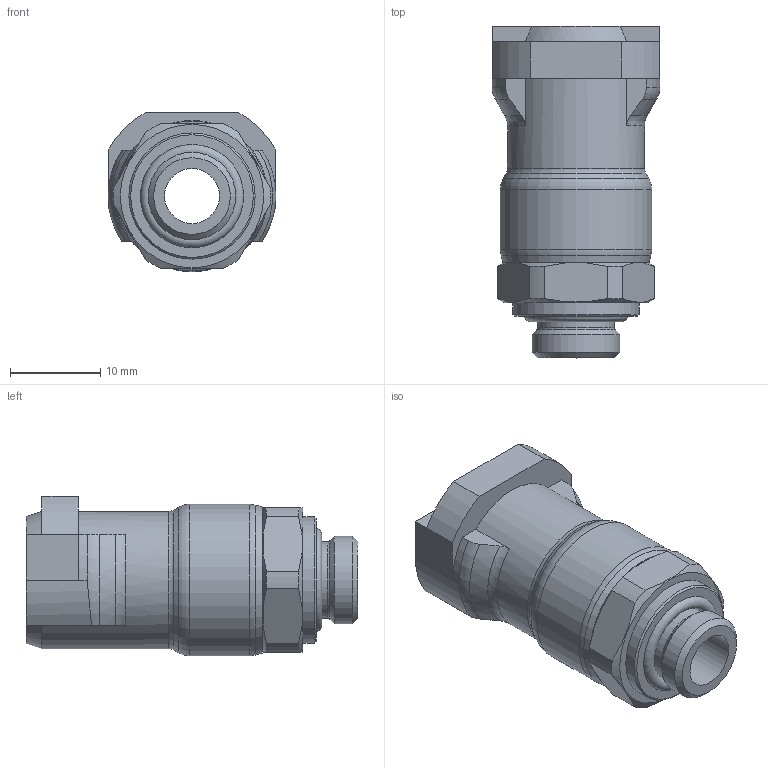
import cadquery as cq
import math

LENGTH = 36.8
BORE_R = 3.05
RAMP_ANGLE = math.radians(30)

FULL_TURN = 360

THREAD_R = 4.85
TIP_CHAMFER = 0.6
THREAD_END_Y = 2.6
UNDERCUT_R = 4.25
UNDERCUT_BLEND = 0.3
FLANGE_R = 7.0
FLANGE_Y = 4.6
FLANGE_CHAMFER = 0.2

ORING_OUTER_R = 5.74
ORING_FRONT_Y = 4.0

HEX_Y = 6.12
HEX_END_Y = 10.6
HEX_SIDES = 6
HEX_ACROSS_FLATS = 16.0
HEX_CORNER_R = 8.74
HEX_FACE_R = 7.95
HEX_CHAMFER_ANGLE = math.radians(30)

BARREL_R = 8.4
BARREL_FRONT_ANGLE = math.radians(15)
BARREL_FRONT_CORNER_Y = 11.72
BARREL_FRONT_BLEND = 2.6
BARREL_REAR_CORNER_Y = 19.32
BARREL_REAR_BLEND = 2.4
SLEEVE_R = 7.6
SLEEVE_BLEND = 1.1
END_CHAMFER_LENGTH = 1.7
END_CHAMFER_DROP = 0.54

WING_HALF_WIDTH = 9.305
WING_TOP_Z = 5.1
WING_BOTTOM_Z = -5.03
WING_FLANK_R = 9.05
WING_RAMP_CORNER_Y = 29.3
WING_RAMP_BLEND = 2.67
WING_FOOT_BLEND = 2.3
PLATE_Y = 31.0
PLATE_END_Y = 35.05
PLATE_TOP_Z = 9.3
PLATE_R = 10.6


def revolve_profile(corners):
    """Solid of revolution about Y from (radius, y, blend radius) corners, closed along the axis."""
    profile = cq.Workplane("XY").moveTo(0, corners[0][1])
    for i, (radius, y, blend) in enumerate(corners):
        corner = cq.Vector(radius, y)
        if blend == 0:
            profile = profile.lineTo(radius, y)
            continue
        to_previous = (cq.Vector(*corners[i - 1][:2]) - corner).normalized()
        to_next = (cq.Vector(*corners[i + 1][:2]) - corner).normalized()
        half_angle = to_previous.getAngle(to_next) / 2
        setback = blend / math.tan(half_angle)
        inward = (to_previous + to_next).normalized()
        start = corner + to_previous * setback
        middle = corner + inward * (blend / math.sin(half_angle) - blend)
        end = corner + to_next * setback
        profile = profile.lineTo(start.x, start.y)
        profile = profile.threePointArc((middle.x, middle.y), (end.x, end.y))
    profile = profile.lineTo(0, corners[-1][1]).close()
    return profile.revolve(FULL_TURN, (0, 0, 0), (0, 1, 0))


def section(y):
    """Workplane across the axis at height y; local x is X, local y is Z, extrusion runs to -Y."""
    return cq.Workplane("XZ", origin=(0, y, 0))


def threaded_stub():
    undercut_y = THREAD_END_Y + THREAD_R - UNDERCUT_R
    return revolve_profile([
        (THREAD_R - TIP_CHAMFER, 0, 0),
        (THREAD_R, TIP_CHAMFER, 0),
        (THREAD_R, THREAD_END_Y, 0),
        (UNDERCUT_R, undercut_y, UNDERCUT_BLEND),
        (UNDERCUT_R, FLANGE_Y, 0),
        (FLANGE_R - FLANGE_CHAMFER, FLANGE_Y, 0),
        (FLANGE_R, FLANGE_Y + FLANGE_CHAMFER, 0),
        (FLANGE_R, HEX_Y, 0),
    ])


def o_ring():
    cord_r = (ORING_OUTER_R - UNDERCUT_R) / 2
    ring_r = UNDERCUT_R + cord_r
    ring_y = ORING_FRONT_Y + cord_r
    cord = cq.Workplane("XY").center(ring_r, ring_y).circle(cord_r)
    return cord.revolve(FULL_TURN, (-ring_r, 0, 0), (-ring_r, 1, 0))


def hexagon():
    corner_chamfer = (HEX_CORNER_R - HEX_FACE_R) * math.tan(HEX_CHAMFER_ANGLE)
    turned = revolve_profile([
        (HEX_FACE_R, HEX_Y, 0),
        (HEX_CORNER_R, HEX_Y + corner_chamfer, 0),
        (HEX_CORNER_R, HEX_END_Y - corner_chamfer, 0),
        (HEX_FACE_R, HEX_END_Y, 0),
    ])
    across_corners = HEX_ACROSS_FLATS / math.cos(math.pi / HEX_SIDES)
    prism = section(HEX_END_Y).polygon(HEX_SIDES, across_corners).extrude(HEX_END_Y - HEX_Y)
    return turned.intersect(prism)


def body():
    front_drop = (BARREL_FRONT_CORNER_Y - HEX_END_Y) * math.tan(BARREL_FRONT_ANGLE)
    sleeve_y = BARREL_REAR_CORNER_Y + (BARREL_R - SLEEVE_R) / math.tan(RAMP_ANGLE)
    return revolve_profile([
        (BARREL_R - front_drop, HEX_END_Y, 0),
        (BARREL_R, BARREL_FRONT_CORNER_Y, BARREL_FRONT_BLEND),
        (BARREL_R, BARREL_REAR_CORNER_Y, BARREL_REAR_BLEND),
        (SLEEVE_R, sleeve_y, SLEEVE_BLEND),
        (SLEEVE_R, LENGTH - END_CHAMFER_LENGTH, 0),
        (SLEEVE_R - END_CHAMFER_DROP, LENGTH, 0),
    ])


def wing_prism(start_y, end_y):
    """Wing outline, flat sides above z = 0 and curved flanks below, between two heights."""
    flank_center_x = WING_HALF_WIDTH - WING_FLANK_R

    def flank_x(z):
        return flank_center_x + math.sqrt(WING_FLANK_R**2 - z**2)

    middle_z = WING_BOTTOM_Z / 2
    middle_x = flank_x(middle_z)
    bottom_x = flank_x(WING_BOTTOM_Z)
    return (
        section(end_y)
        .moveTo(-WING_HALF_WIDTH, WING_TOP_Z)
        .lineTo(WING_HALF_WIDTH, WING_TOP_Z)
        .lineTo(WING_HALF_WIDTH, 0)
        .threePointArc((middle_x, middle_z), (bottom_x, WING_BOTTOM_Z))
        .lineTo(-bottom_x, WING_BOTTOM_Z)
        .threePointArc((-middle_x, middle_z), (-WING_HALF_WIDTH, 0))
        .close()
        .extrude(end_y - start_y)
    )


def wing_shoulders():
    """Conical run-out of the wings into the sleeve."""
    foot_y = WING_RAMP_CORNER_Y - (WING_HALF_WIDTH - SLEEVE_R) / math.tan(RAMP_ANGLE)
    start_y = foot_y - WING_FOOT_BLEND
    ramp = revolve_profile([
        (SLEEVE_R, start_y, 0),
        (SLEEVE_R, foot_y, WING_FOOT_BLEND),
        (WING_HALF_WIDTH, WING_RAMP_CORNER_Y, WING_RAMP_BLEND),
        (WING_HALF_WIDTH, PLATE_Y, 0),
    ])
    return ramp.intersect(wing_prism(start_y, PLATE_Y))


def upper_plate():
    """Round disc segment above the wings, trimmed flat on top and at both sides."""
    thickness = PLATE_END_Y - PLATE_Y
    disc = section(PLATE_END_Y).circle(PLATE_R).extrude(thickness)
    trim = (
        section(PLATE_END_Y)
        .moveTo(-WING_HALF_WIDTH, 0)
        .rect(2 * WING_HALF_WIDTH, PLATE_TOP_Z, centered=False)
        .extrude(thickness)
    )
    return disc.intersect(trim)


def bore():
    return section(LENGTH).circle(BORE_R).extrude(LENGTH)


result = (
    body()
    .union(hexagon())
    .union(threaded_stub())
    .union(o_ring())
    .union(wing_shoulders())
    .union(wing_prism(PLATE_Y, LENGTH))
    .union(upper_plate())
    .cut(bore())
)